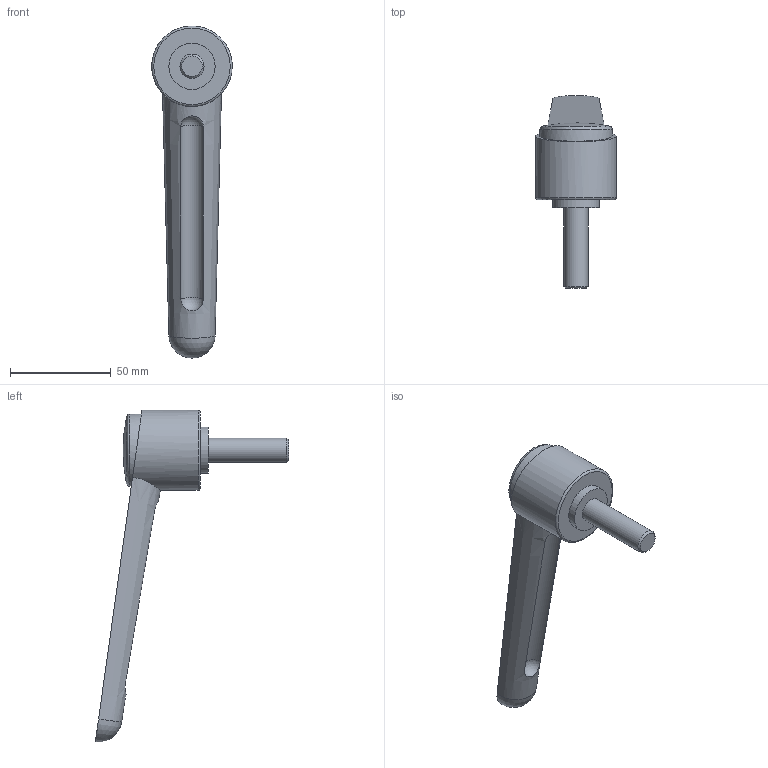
import math

import cadquery as cq


back_limit = 56.0
lower_limit = -145.02

stud_diameter = 12.0
stud_length = 40.0
stud_chamfer = 0.9
collar_diameter = 23.0
collar_height = 4.0

hub_diameter = 40.0
hub_edge_fillet = 1.0

cap_diameter = 36.0
cap_base_y = 30.0
cap_rim_y = 40.3
cap_apex_y = 42.2
cap_edge_fillet = 1.8

lever_tilt = 8.0
root_radius = 15.0
tip_radius = 11.5

groove_radius = 5.7
groove_start = 28.6
groove_end = 115.4

tilt_sin = math.sin(math.radians(lever_tilt))
tilt_cos = math.cos(math.radians(lever_tilt))
arm_length = -(lower_limit + tip_radius) / tilt_cos
back_plane_y = back_limit - (arm_length + tip_radius) * tilt_sin
arm_taper = (root_radius - tip_radius) / arm_length

arm_plane = cq.Plane(
    origin=(0, back_plane_y, 0),
    xDir=(1, 0, 0),
    normal=(0, tilt_cos, tilt_sin),
)


def cylinder_along_y(diameter, y_start, y_end):
    """Cylinder on the hub axis between two Y positions."""
    base = cq.Workplane("XZ", origin=(0, y_start, 0))
    return base.circle(diameter / 2).extrude(y_start - y_end)


def make_stud():
    stud = cylinder_along_y(stud_diameter, -stud_length, collar_height)
    return stud.faces("<Y").chamfer(stud_chamfer)


def make_hub():
    hub = cylinder_along_y(hub_diameter, collar_height, back_limit)
    return hub.faces("<Y").edges().fillet(hub_edge_fillet)


def make_arm():
    """Full cone with a ball tip; the back plane later removes its rear half."""
    ball_angle = math.radians(45)
    return (
        cq.Workplane(arm_plane)
        .lineTo(root_radius, 0)
        .lineTo(tip_radius, arm_length)
        .threePointArc(
            (tip_radius * math.cos(ball_angle), arm_length + tip_radius * math.sin(ball_angle)),
            (0, arm_length + tip_radius),
        )
        .close()
        .revolve(360, (0, 0), (0, 1))
    )


def make_behind_back_plane():
    """Block that fills the space behind the tilted back plane."""
    block_size = 2 * (arm_length + hub_diameter)
    return cq.Workplane(arm_plane).rect(block_size, block_size).extrude(block_size)


def crest_point(distance):
    """Point on the front crest of the arm at a distance from the hub axis."""
    crest_depth = root_radius - arm_taper * distance
    return arm_plane.toWorldCoords((0, distance, -crest_depth))


def make_groove():
    start = crest_point(groove_start)
    end = crest_point(groove_end)
    run = end - start
    channel = cq.Workplane(cq.Plane(origin=start, xDir=(1, 0, 0), normal=run))
    groove = channel.circle(groove_radius).extrude(run.Length)
    for centre in (start, end):
        groove = groove.union(cq.Workplane("XY").sphere(groove_radius).translate(centre))
    return groove


def make_cap():
    """Revolved cap with a shallow dome and a rounded rim."""
    cap_radius = cap_diameter / 2
    dome_rise = cap_apex_y - cap_rim_y
    dome_radius = (cap_radius**2 + dome_rise**2) / (2 * dome_rise)
    mid_x = cap_radius / 2
    mid_y = cap_apex_y - dome_radius + math.sqrt(dome_radius**2 - mid_x**2)
    cap = (
        cq.Workplane("XY")
        .moveTo(0, cap_base_y)
        .lineTo(cap_radius, cap_base_y)
        .lineTo(cap_radius, cap_rim_y)
        .threePointArc((mid_x, mid_y), (0, cap_apex_y))
        .close()
        .revolve(360, (0, 0), (0, 1))
    )
    rim_box = cq.selectors.BoxSelector(
        (-hub_diameter, cap_rim_y - dome_rise, -hub_diameter),
        (hub_diameter, cap_rim_y + dome_rise / 2, hub_diameter),
        boundingbox=True,
    )
    return cap.edges("%CIRCLE").edges(rim_box).fillet(cap_edge_fillet)


body = make_hub().union(make_arm()).cut(make_behind_back_plane())
body = body.cut(make_groove())
collar = cylinder_along_y(collar_diameter, 0, collar_height)
result = body.union(make_cap()).union(collar).union(make_stud())